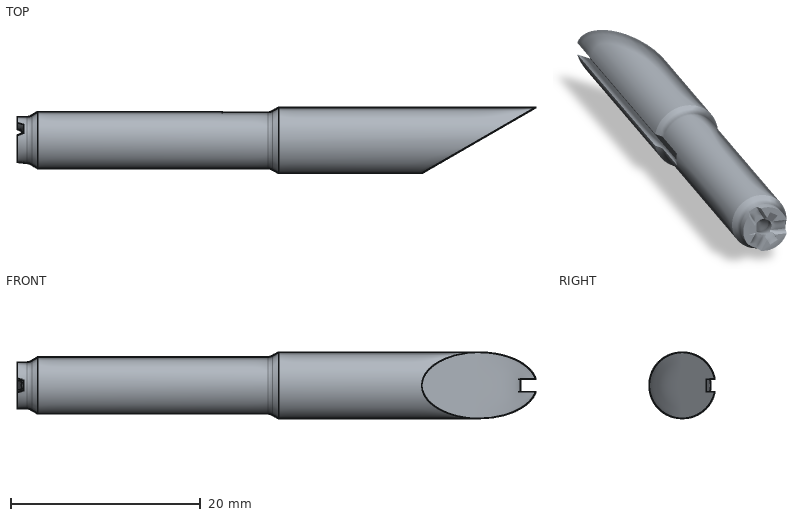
import cadquery as cq
import math

length = 54.7
body_radius = 3.5
neck_radius = 3.0
nose_radius = 2.45

flare_run = 0.5
cone_run = 0.65
nose_step_start = 1.05
nose_step_angle = 35.0
shoulder_start = 26.45
shoulder_angle = 30.0

bevel_angle = 30.0

keyway_start = 21.6
keyway_width = 1.3
keyway_floor = 2.5

keyway_corner_y = math.sqrt(body_radius**2 - (keyway_width / 2) ** 2)
bevel_tip = length + (body_radius - keyway_corner_y) / math.tan(math.radians(bevel_angle))

hole_radius = 0.9
hole_depth = 1.65
slot_count = 3
slot_mouth_width = 1.55
slot_floor_width = 1.0
slot_depth = 0.7
ramp_width = 0.95
ramp_reach = 1.85
ramp_angle = 25.0


def add_flared_step(outline, start, angle, start_radius, end_radius):
    """Continue a profile outwards by a concave arc and a cone."""
    arc_end_radius = start_radius + flare_run * math.tan(math.radians(angle / 2))
    arc_end = start + flare_run
    outline = outline.lineTo(start, start_radius)
    outline = outline.tangentArcPoint((arc_end, arc_end_radius), relative=False)
    return outline.lineTo(arc_end + cone_run, end_radius)


def make_pin():
    outline = cq.Workplane("XY").lineTo(0, nose_radius)
    outline = add_flared_step(outline, nose_step_start, nose_step_angle, nose_radius, neck_radius)
    outline = add_flared_step(outline, shoulder_start, shoulder_angle, neck_radius, body_radius)
    outline = outline.lineTo(bevel_tip, body_radius).lineTo(bevel_tip, 0).close()
    return outline.revolve(360, (0, 0, 0), (1, 0, 0))


def make_bevel_cutter():
    bevel_length = 2 * body_radius / math.tan(math.radians(bevel_angle))
    return (
        cq.Workplane("XY")
        .polyline([
            (bevel_tip - 2 * bevel_length, -3 * body_radius),
            (bevel_tip, -3 * body_radius),
            (bevel_tip, body_radius),
        ])
        .close()
        .extrude(body_radius, both=True)
    )


def make_keyway_cutter():
    return cq.Workplane("XY").box(
        bevel_tip - keyway_start, body_radius, keyway_width, centered=(False, False, True)
    ).translate((keyway_start, keyway_floor, 0))


def make_center_hole_cutter():
    """Blind hole with a 45 degree pointed bottom."""
    return (
        cq.Workplane("XY")
        .polyline([
            (0, 0),
            (0, hole_radius),
            (hole_depth, hole_radius),
            (hole_depth + hole_radius, 0),
        ])
        .close()
        .revolve(360, (0, 0, 0), (1, 0, 0))
    )


def make_radial_slot_cutter():
    """Slot with tapered sides, running outwards along -Y from the axis."""
    return (
        cq.Workplane("XZ")
        .polyline([
            (0, -slot_mouth_width / 2),
            (slot_depth, -slot_floor_width / 2),
            (slot_depth, slot_floor_width / 2),
            (0, slot_mouth_width / 2),
        ])
        .close()
        .extrude(body_radius)
    )


def make_ramp_cutter():
    """Groove along +Y that deepens from the end face towards the axis."""
    ramp_depth = ramp_reach * math.tan(math.radians(ramp_angle))
    return (
        cq.Workplane("XY")
        .polyline([(0, 0), (0, ramp_reach), (ramp_depth, 0)])
        .close()
        .extrude(ramp_width / 2, both=True)
    )


result = make_pin().cut(make_bevel_cutter()).cut(make_keyway_cutter())
result = result.cut(make_center_hole_cutter())

for index in range(slot_count):
    turn = index * 360 / slot_count
    for cutter in (make_radial_slot_cutter(), make_ramp_cutter()):
        result = result.cut(cutter.rotate((0, 0, 0), (1, 0, 0), turn))